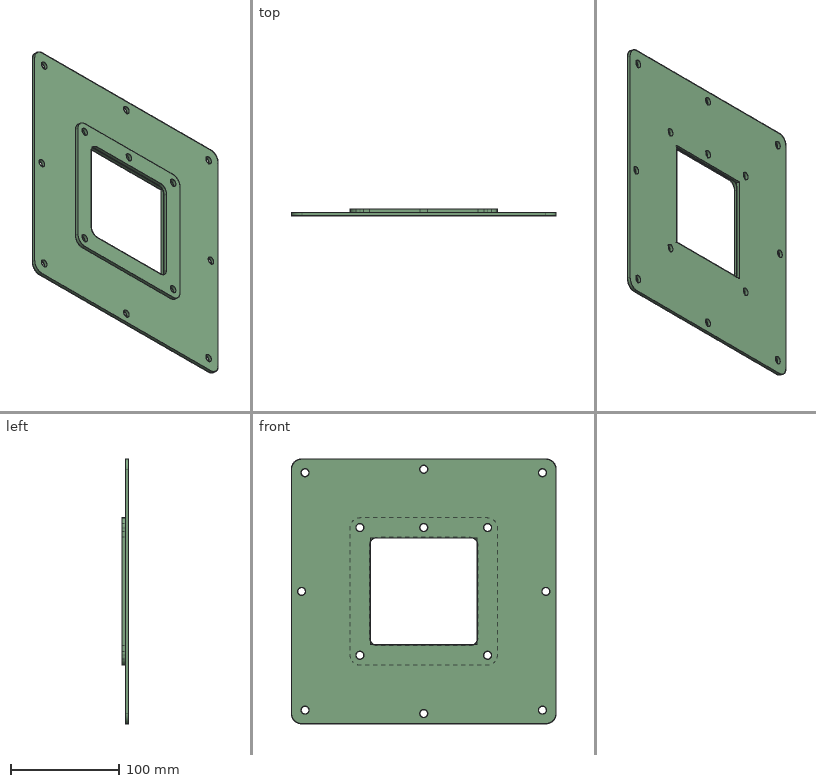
import cadquery as cq

PLATE_SIDE = 244.5
PLATE_CORNER_RADIUS = 9.8

FRAME_SIDE = 136.0
FRAME_CORNER_RADIUS = 9.3

SHEET_THICKNESS = 3.2

PLATE_WINDOW_SIDE = 98.3
FRAME_WINDOW_SIDE = 100.0
FRAME_WINDOW_RADIUS = 7.8

HOLE_DIAMETER = 7.0
CORNER_HOLE_OFFSET = 109.5
EDGE_HOLE_OFFSET = 112.7
FRAME_HOLE_OFFSET = 59.0


def square_corners(offset):
    """Four hole centres (x, z) at the corners of a centred square."""
    return [(x, z) for x in (-offset, offset) for z in (-offset, offset)]


EDGE_HOLES = [
    (-EDGE_HOLE_OFFSET, 0),
    (EDGE_HOLE_OFFSET, 0),
    (0, -EDGE_HOLE_OFFSET),
    (0, EDGE_HOLE_OFFSET),
]
RIM_HOLES = square_corners(CORNER_HOLE_OFFSET) + EDGE_HOLES

FRAME_HOLES = square_corners(FRAME_HOLE_OFFSET) + [(0, FRAME_HOLE_OFFSET)]


def square_sheet(side, front_y):
    """Centred square sheet that extends from front_y toward +Y."""
    plane = cq.Workplane("XZ", origin=(0, front_y, 0))
    return plane.rect(side, side).extrude(-SHEET_THICKNESS)


def hole_cutters(centres, front_y):
    """Round cutters through one sheet thickness."""
    plane = cq.Workplane("XZ", origin=(0, front_y, 0))
    return plane.pushPoints(centres).circle(HOLE_DIAMETER / 2).extrude(-SHEET_THICKNESS)


def make_front_plate():
    """Panel with a sharp-cornered window and every screw hole."""
    front_y = 0
    plate = square_sheet(PLATE_SIDE, front_y).edges("|Y").fillet(PLATE_CORNER_RADIUS)
    window = square_sheet(PLATE_WINDOW_SIDE, front_y)
    return plate.cut(window).cut(hole_cutters(RIM_HOLES + FRAME_HOLES, front_y))


def make_backing_frame():
    """Rear frame with a round-cornered window and the shared holes."""
    front_y = SHEET_THICKNESS
    frame = square_sheet(FRAME_SIDE, front_y).edges("|Y").fillet(FRAME_CORNER_RADIUS)
    window = square_sheet(FRAME_WINDOW_SIDE, front_y).edges("|Y").fillet(FRAME_WINDOW_RADIUS)
    return frame.cut(window).cut(hole_cutters(FRAME_HOLES, front_y))


front_plate = make_front_plate()
backing_frame = make_backing_frame()

result = cq.Compound.makeCompound([front_plate.val(), backing_frame.val()])